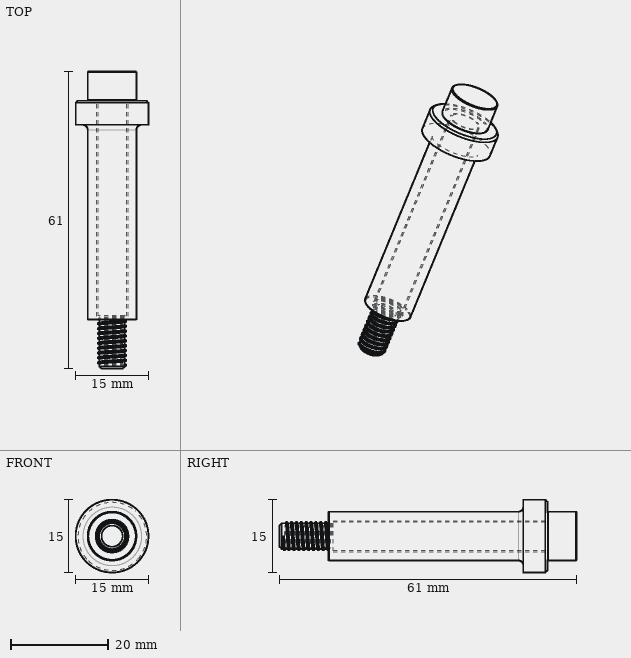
import cadquery as cq


head_diameter = 10.05
head_length = 6.0
head_chamfer = 0.2
screw_length = 55.0
tip_chamfer = 0.5

core_diameter = 5.3
crest_diameter = 5.85
ridge_base_width = 0.5
ridge_crest_width = 0.1
ridge_overlap = 0.05
thread_turns = 10

sleeve_length = 45.0
sleeve_diameter = 10.05
sleeve_end_chamfer = 0.2
collar_diameter = 15.0
collar_length = 5.0
collar_chamfer = 0.5
collar_fillet = 1.0
bore_diameter = 6.4
bore_chamfer = 0.2
selection_margin = 0.05

tip_y = -screw_length
exposed_thread_length = screw_length - sleeve_length
pitch = exposed_thread_length / thread_turns
thread_start_y = tip_y + tip_chamfer + ridge_base_width / 2
thread_end_y = thread_start_y + thread_turns * pitch
shank_end_y = thread_end_y + ridge_base_width / 2


def cylinder(diameter, y_low, y_high):
    """Solid cylinder on the Y axis between two Y positions."""
    profile = (
        cq.Workplane("YZ")
        .moveTo(y_low, 0)
        .lineTo(y_low, diameter / 2)
        .lineTo(y_high, diameter / 2)
        .lineTo(y_high, 0)
        .close()
    )
    return profile.revolve(360, (0, 0, 0), (1, 0, 0))


def make_thread_ridge():
    """Trapezoidal ridge swept along a helix that starts on the +X side near the tip."""
    core_radius = core_diameter / 2
    crest_radius = crest_diameter / 2
    root_radius = core_radius - ridge_overlap
    flank_slope = (ridge_base_width - ridge_crest_width) / 2 / (crest_radius - core_radius)
    root_half_width = ridge_base_width / 2 + flank_slope * ridge_overlap
    crest_half_width = ridge_crest_width / 2

    path = cq.Wire.makeHelix(pitch, thread_turns * pitch, core_radius)
    ridge = (
        cq.Workplane("XZ")
        .moveTo(root_radius, -root_half_width)
        .lineTo(crest_radius, -crest_half_width)
        .lineTo(crest_radius, crest_half_width)
        .lineTo(root_radius, root_half_width)
        .close()
        .sweep(cq.Workplane(obj=path), isFrenet=True)
    )
    return ridge.rotate((0, 0, 0), (1, 0, 0), -90).translate((0, thread_start_y, 0))


def make_screw():
    head = cylinder(head_diameter, 0, head_length).edges("%CIRCLE").chamfer(head_chamfer)
    shank = cylinder(crest_diameter, shank_end_y, 0)
    core = cylinder(core_diameter, tip_y, shank_end_y).faces("<Y").edges().chamfer(tip_chamfer)
    screw_body = head.union(shank).union(core).union(make_thread_ridge())
    return screw_body.solids()


def make_sleeve():
    tube = cylinder(sleeve_diameter, -sleeve_length, 0)
    collar = cylinder(collar_diameter, -collar_length, 0)
    collar = collar.faces(">Y").edges().chamfer(collar_chamfer)
    tube = tube.faces("<Y").edges().chamfer(sleeve_end_chamfer)
    body = tube.union(collar)

    smallest_circle = cq.selectors.RadiusNthSelector(0)
    back_of_collar = cq.selectors.BoxSelector(
        (-collar_diameter, -collar_length - selection_margin, -collar_diameter),
        (collar_diameter, -collar_length + selection_margin, collar_diameter),
    )
    body = body.edges("%CIRCLE").edges(back_of_collar).edges(smallest_circle).fillet(collar_fillet)

    body = body.cut(cylinder(bore_diameter, -sleeve_length, 0))
    body = body.faces("<Y").edges(smallest_circle).chamfer(bore_chamfer)
    return body.solids()


screw = make_screw()
sleeve = make_sleeve()

result = cq.Compound.makeCompound([screw.val(), sleeve.val()])